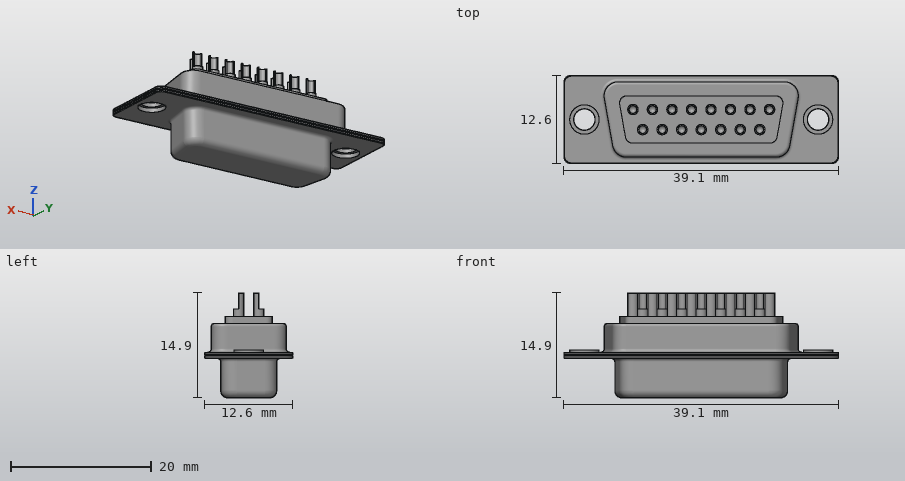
import cadquery as cq
import math

flange_length = 39.12
flange_width = 12.55
flange_thickness = 0.9
plate_thickness = flange_thickness / 2
flange_corner_radius = 1.0
plate_edge_chamfer = 0.1

eyelet_offset = 16.63
eyelet_diameter = 4.2
eyelet_hole_diameter = 3.0
eyelet_height = 0.35
eyelet_web = 0.63
eyelet_pocket_diameter = 4.0

side_slant = 10.0
shell_corner_radius = 2.0

rear_shell_width = 26.52
rear_shell_depth = 10.7
rear_shell_height = 4.1
rear_shell_rim_radius = 0.45

front_shell_width = 24.0
front_shell_depth = 8.0
front_shell_height = 5.6
front_shell_rim_radius = 1.0

shell_root_radius = 0.45

insert_width = 22.45
insert_depth = 6.73
insert_height = 1.0
insert_corner_radius = 1.0

cup_pitch = 2.78
row_spacing = 2.85
wide_row_count = 8
narrow_row_count = 7
cup_diameter = 1.5
cup_bore_diameter = 1.1
cup_height = 3.3
cup_ledge_height = 1.05

flange_top = plate_thickness
flange_bottom = -plate_thickness
eyelet_top = flange_top + eyelet_height
rear_shell_top = flange_top + rear_shell_height
insert_top = rear_shell_top + insert_height


def d_prism(width, depth, corner_radius, base, height):
    """D-shaped prism, wide side toward +Y, with rounded corners."""
    slant_shift = depth / 2 * math.tan(math.radians(side_slant))
    half_wide = width / 2 + slant_shift
    half_narrow = width / 2 - slant_shift
    corners = [
        (-half_wide, depth / 2),
        (half_wide, depth / 2),
        (half_narrow, -depth / 2),
        (-half_narrow, -depth / 2),
    ]
    prism = cq.Workplane("XY").workplane(offset=base).polyline(corners).close().extrude(height)
    return prism.edges("|Z").fillet(corner_radius)


def flange_plate(base):
    """One rounded flange plate with chamfered top and bottom edges."""
    plate = (
        cq.Workplane("XY")
        .workplane(offset=base)
        .rect(flange_length, flange_width)
        .extrude(plate_thickness)
    )
    plate = plate.edges("|Z").fillet(flange_corner_radius)
    return plate.faces("<Z or >Z").edges().chamfer(plate_edge_chamfer)


def flare_shell_root(body, level):
    """Blend the shell into the flange face at the given level, leaving the flange rim alone."""
    half_length = flange_length / 2 - flange_corner_radius
    half_width = flange_width / 2 - 2 * plate_edge_chamfer
    root_region = cq.selectors.BoxSelector(
        (-half_length, -half_width, level - plate_edge_chamfer / 2),
        (half_length, half_width, level + plate_edge_chamfer / 2),
    )
    return body.edges(root_region).fillet(shell_root_radius)


def eyelet_disks(diameter, bottom, top):
    """Pair of discs centred on the eyelets, between two levels."""
    return (
        cq.Workplane("XY")
        .workplane(offset=bottom)
        .pushPoints([(-eyelet_offset, 0), (eyelet_offset, 0)])
        .circle(diameter / 2)
        .extrude(top - bottom)
    )


def solder_cup(x, y):
    """Pin standing on the insert, with the outward half of its upper part cut away."""
    outward = math.copysign(1, y)
    opening_center = outward * cup_diameter / 2
    pin = cq.Workplane("XY").circle(cup_diameter / 2).extrude(cup_height)
    opening = (
        cq.Workplane("XY")
        .box(cup_diameter, cup_diameter, cup_height, centered=(True, True, False))
        .translate((0, opening_center, cup_ledge_height))
    )
    return pin.cut(opening).translate((x, y, insert_top))


def cup_bore(x, y):
    """Bore with a hemispherical end whose lowest point is level with the insert face."""
    radius = cup_bore_diameter / 2
    cylinder = (
        cq.Workplane("XY").workplane(offset=radius).circle(radius).extrude(cup_height - radius)
    )
    ball = cq.Workplane("XY").sphere(radius).translate((0, 0, radius))
    return cylinder.union(ball).translate((x, y, insert_top))


def row_positions(count, y):
    """Evenly pitched positions centred on X = 0."""
    return [((index - (count - 1) / 2) * cup_pitch, y) for index in range(count)]


rear_shell = d_prism(
    rear_shell_width, rear_shell_depth, shell_corner_radius, flange_top, rear_shell_height
)
rear_shell = rear_shell.faces(">Z").edges().fillet(rear_shell_rim_radius)

front_shell = d_prism(
    front_shell_width, front_shell_depth, shell_corner_radius, flange_bottom, -front_shell_height
)
front_shell = front_shell.faces("<Z").edges().fillet(front_shell_rim_radius)

body = flange_plate(0).union(flange_plate(flange_bottom)).union(rear_shell).union(front_shell)
for level in (flange_top, flange_bottom):
    body = flare_shell_root(body, level)

body = body.union(eyelet_disks(eyelet_diameter, flange_top, eyelet_top))
body = body.cut(eyelet_disks(eyelet_pocket_diameter, flange_bottom, eyelet_top - eyelet_web))
body = body.cut(eyelet_disks(eyelet_hole_diameter, flange_bottom, eyelet_top))

body = body.union(
    d_prism(insert_width, insert_depth, insert_corner_radius, rear_shell_top, insert_height)
)
cup_positions = row_positions(wide_row_count, row_spacing / 2)
cup_positions += row_positions(narrow_row_count, -row_spacing / 2)
for x, y in cup_positions:
    body = body.union(solder_cup(x, y)).cut(cup_bore(x, y))

result = body